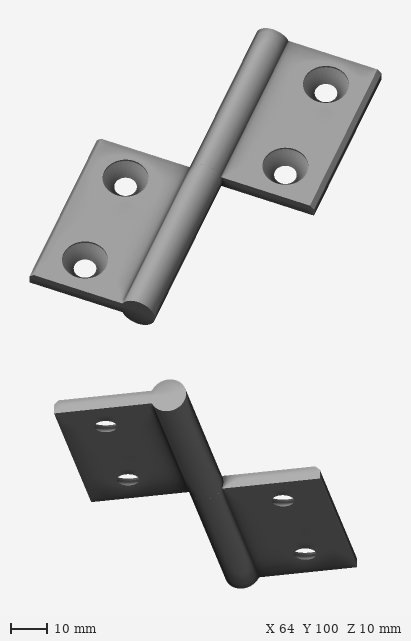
import cadquery as cq

hinge_length = 100.0
hinge_width = 64.0
barrel_diameter = 10.0
leaf_thickness = 4.0
edge_chamfer = 1.2

hole_diameter = 6.2
sink_diameter = 12.6
rim_depth = 0.6
hole_offset = 19.6
hole_end_distance = 10.0

leaf_length = hinge_length / 2
leaf_reach = hinge_width / 2
hole_spacing = leaf_length - 2 * hole_end_distance


def make_screw_cutter():
    """Shape of one screw hole: a straight rim above a cone that narrows to the underside."""
    return (
        cq.Workplane("XZ")
        .moveTo(0, -leaf_thickness / 2)
        .lineTo(hole_diameter / 2, -leaf_thickness / 2)
        .lineTo(sink_diameter / 2, leaf_thickness / 2 - rim_depth)
        .lineTo(sink_diameter / 2, leaf_thickness / 2)
        .lineTo(0, leaf_thickness / 2)
        .close()
        .revolve(360, (0, 0, 0), (0, 1, 0))
    )


def make_leaf():
    """Leaf reaching toward +X, with its half of the barrel around the Y axis."""
    plate = (
        cq.Workplane("XY")
        .box(leaf_reach, leaf_length, leaf_thickness, centered=(False, True, True))
        .edges(">X and >Z")
        .chamfer(edge_chamfer)
    )
    barrel = (
        cq.Workplane("XZ")
        .circle(barrel_diameter / 2)
        .extrude(leaf_length / 2, both=True)
    )
    leaf = plate.union(barrel)
    for end in (-1, 1):
        leaf = leaf.cut(make_screw_cutter().translate((hole_offset, end * hole_spacing / 2, 0)))
    return leaf


leaves = []
for side in (-1, 1):
    leaf = make_leaf()
    if side < 0:
        leaf = leaf.rotate((0, 0, 0), (0, 0, 1), 180)
    leaves.append(leaf.translate((0, side * leaf_length / 2, 0)).val())

result = cq.Compound.makeCompound(leaves)